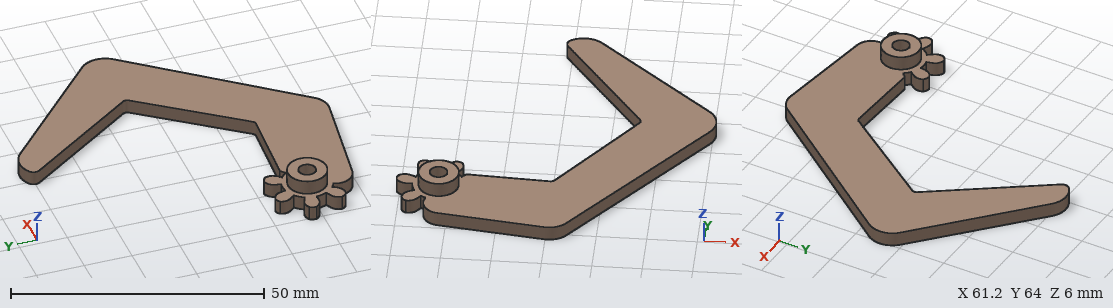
import cadquery as cq
import math


plate_thickness = 3.0
boss_height = 3.0

bore_diameter = 3.5
boss_diameter = 8.0

root_radius = 5.2
full_gear_teeth = 7
tooth_pitch = 360.0 / full_gear_teeth
cut_teeth = 4
first_tooth_angle = 65.6
tooth_start_radius = 4.5
tooth_half_angle = 13.2
tooth_belly_radius = 6.4
tooth_shoulder = (8.45, 0.72)
tooth_tip_radius = 8.6

notch_root = (4.3, 2.97)
notch_top = (5.22, 3.86)
inner_lower_corner = (22.37, 2.96)
inner_elbow = (38.03, 24.65)
outer_elbow = (54.53, 25.98)
outer_lower_corner = (24.67, -12.83)

inner_radius = 1.0
elbow_radius = 5.0
lower_radius = 4.5
heel_center = (1.0, -6.17)
heel_radius = 3.5

outer_edge_length = 36.0
outer_edge_angle = 137.7
tip_radius = 5.0
tip_corner = (20.57, 49.55)
tip_corner_radius = 1.5


def polar(center, radius, angle):
    """Point at a distance and an angle in degrees from a center."""
    a = math.radians(angle)
    return (center[0] + radius * math.cos(a), center[1] + radius * math.sin(a))


def direction(start, end):
    """Angle in degrees of the line from start to end."""
    return math.degrees(math.atan2(end[1] - start[1], end[0] - start[0]))


def make_arm():
    """Bent arm with rounded corners, including the round heel beside the pivot."""
    tip_arc_start = polar(outer_elbow, outer_edge_length, outer_edge_angle)
    tip_normal = outer_edge_angle - 90
    tip_center = polar(tip_arc_start, -tip_radius, tip_normal)
    tip_arc_middle_angle = (tip_normal + direction(tip_center, tip_corner)) / 2
    tip_arc_middle = polar(tip_center, tip_radius, tip_arc_middle_angle)

    heel_distance = math.dist(outer_lower_corner, heel_center)
    heel_spread = math.degrees(math.acos(heel_radius / heel_distance))
    heel_tangent_angle = direction(heel_center, outer_lower_corner) - heel_spread
    heel_tangent = polar(heel_center, heel_radius, heel_tangent_angle)

    arm = (
        cq.Workplane("XY")
        .moveTo(0, 0)
        .lineTo(*notch_root)
        .lineTo(*notch_top)
        .lineTo(*inner_lower_corner)
        .lineTo(*inner_elbow)
        .lineTo(*tip_corner)
        .threePointArc(tip_arc_middle, tip_arc_start)
        .lineTo(*outer_elbow)
        .lineTo(*outer_lower_corner)
        .lineTo(*heel_tangent)
        .lineTo(*heel_center)
        .close()
        .extrude(plate_thickness)
    )
    roundings = [
        (inner_lower_corner, inner_radius),
        (inner_elbow, inner_radius),
        (tip_corner, tip_corner_radius),
        (outer_elbow, elbow_radius),
        (outer_lower_corner, lower_radius),
    ]
    for corner, radius in roundings:
        mid_edge = (*corner, plate_thickness / 2)
        arm = arm.edges("|Z").edges(cq.NearestToPointSelector(mid_edge)).fillet(radius)

    heel = cq.Workplane("XY").center(*heel_center).circle(heel_radius).extrude(plate_thickness)
    return arm.union(heel)


def make_tooth(angle):
    """One leaf-shaped tooth, drawn along +X and turned to its angle."""
    pivot = (0, 0)
    flank_start = polar(pivot, tooth_start_radius, tooth_half_angle)
    flank_end = polar(pivot, tooth_belly_radius, tooth_half_angle)
    opposite_shoulder = (tooth_shoulder[0], -tooth_shoulder[1])
    half_tooth = (
        cq.Workplane("XY")
        .moveTo(flank_start[0], 0)
        .lineTo(*flank_start)
        .lineTo(*flank_end)
        .tangentArcPoint(tooth_shoulder, relative=False)
        .lineTo(tooth_shoulder[0], 0)
        .close()
        .extrude(plate_thickness)
    )
    tip_cap = (
        cq.Workplane("XY")
        .moveTo(*opposite_shoulder)
        .threePointArc((tooth_tip_radius, 0), tooth_shoulder)
        .close()
        .extrude(plate_thickness)
    )
    tooth = half_tooth.union(half_tooth.mirror("XZ")).union(tip_cap).clean()
    return tooth.rotate((0, 0, 0), (0, 0, 1), angle)


def make_gear():
    """Root disc carrying the teeth on the side away from the arm."""
    gear = cq.Workplane("XY").circle(root_radius).extrude(plate_thickness)
    for index in range(cut_teeth):
        gear = gear.union(make_tooth(first_tooth_angle + index * tooth_pitch))
    return gear


def make_boss():
    """Round boss rising from the underside through the plate."""
    return cq.Workplane("XY").circle(boss_diameter / 2).extrude(plate_thickness + boss_height)


def make_bore():
    """Pivot hole through plate and boss."""
    return cq.Workplane("XY").circle(bore_diameter / 2).extrude(plate_thickness + boss_height)


result = make_arm().union(make_gear()).union(make_boss()).cut(make_bore())